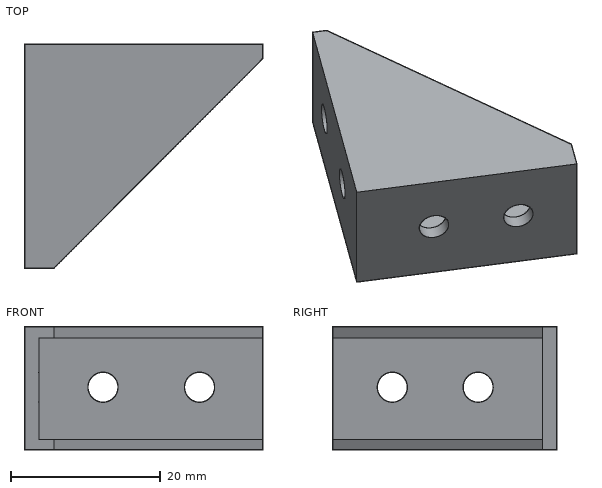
import cadquery as cq

length_x = 31.93
length_y = 30.0
height = 16.5
wall = 1.9
top_plate = 1.5
bottom_plate = 1.4
front_tip = 3.93
back_tip = 1.9
hole_diameter = 4.0
hole_height = 8.4
back_hole_places = (10.5, 23.45)
side_hole_places = (10.55, 22.03)


def make_body():
    """Solid wedge with blunt ends; the side wall runs towards -Y."""
    outline = [
        (0, 0),
        (length_x, 0),
        (length_x, -back_tip),
        (front_tip, -length_y),
        (0, -length_y),
    ]
    return cq.Workplane("XY").polyline(outline).close().extrude(height)


def make_pocket():
    """Space between the two plates, open towards the sloping side."""
    return cq.Workplane("XY").box(
        length_x, length_y, height - top_plate - bottom_plate, centered=False
    ).translate((wall, -wall - length_y, bottom_plate))


def make_back_hole(distance):
    """Cutter through the back wall, along Y."""
    center = cq.Vector(distance, -wall, hole_height)
    return cq.Workplane(cq.Solid.makeCylinder(hole_diameter / 2, wall, center, cq.Vector(0, 1, 0)))


def make_side_hole(distance):
    """Cutter through the side wall, along X."""
    center = cq.Vector(0, -distance, hole_height)
    return cq.Workplane(cq.Solid.makeCylinder(hole_diameter / 2, wall, center, cq.Vector(1, 0, 0)))


result = make_body().cut(make_pocket())
for place in back_hole_places:
    result = result.cut(make_back_hole(place))
for place in side_hole_places:
    result = result.cut(make_side_hole(place))